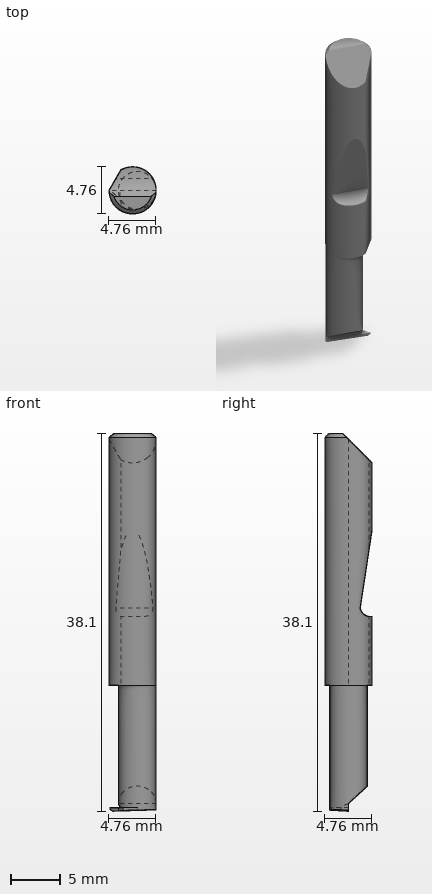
import cadquery as cq
import math


shank_diameter = 4.76
shank_radius = shank_diameter / 2
shank_length = 25.4
shank_chamfer = 0.4
flat_angle = 150.0
flat_half_width_angle = 30.0
flat_distance = shank_radius * math.cos(math.radians(flat_half_width_angle))
top_bevel_start = -0.6

notch_top = 15.7
notch_bottom = 6.95
notch_radius = 1.0
notch_taper = 9.0

neck_radius = 1.905
neck_center_x = shank_radius - neck_radius
neck_left_x = neck_center_x - neck_radius
neck_length = 12.69
tip_z = -neck_length
neck_bevel_start = -10.15
neck_bevel_end = -11.9

blade_thickness = 0.37
blade_top = tip_z + blade_thickness
blade_reach_x = -2.28
blade_corner_x = -2.0
flank_end = (-1.4, -0.75)
side_end = (-0.95, -1.7)
blade_nose_height = 0.2
bottom_relief = 1.8
undercut_height = 0.35
undercut_depth = 0.17

margin = 5.0


def prism_along_x(points):
    """Body with a (Y, Z) outline, passing through the whole part in X."""
    return cq.Workplane("YZ").polyline(points).close().extrude(margin, both=True)


def prism_along_y(points):
    """Body with an (X, Z) outline, passing through the whole part in Y."""
    return cq.Workplane("XZ").polyline(points).close().extrude(margin, both=True)


def side_flat():
    """Half space beyond the flat on the -X, +Y side of the shank."""
    block = cq.Workplane("XY").box(margin, 2 * margin, shank_length, centered=(False, True, False))
    return block.translate((flat_distance, 0, 0)).rotate((0, 0, 0), (0, 0, 1), flat_angle)


def top_bevel():
    """45 degree wedge removed from the back of the shank's top."""
    return prism_along_x([
        (top_bevel_start, shank_length),
        (top_bevel_start + margin, shank_length - margin),
        (top_bevel_start + margin, shank_length),
    ])


def clamping_notch():
    """Tapered notch whose long wall runs tangentially into a round floor."""
    taper = math.radians(notch_taper)
    center_z = notch_bottom + notch_radius
    wall_y = shank_radius - (notch_top - center_z) * math.tan(taper)
    center_y = wall_y + notch_radius / math.cos(taper)
    tangent = (center_y - notch_radius * math.cos(taper), center_z - notch_radius * math.sin(taper))
    middle_angle = math.radians(225.0)
    middle = (
        center_y + notch_radius * math.cos(middle_angle),
        center_z + notch_radius * math.sin(middle_angle),
    )
    outside_y = shank_radius + margin
    return (
        cq.Workplane("YZ")
        .moveTo(shank_radius, notch_top)
        .lineTo(*tangent)
        .threePointArc(middle, (center_y, notch_bottom))
        .lineTo(outside_y, notch_bottom)
        .lineTo(outside_y, notch_top)
        .close()
        .extrude(margin, both=True)
    )


def make_shank():
    shank = cq.Workplane("XY").circle(shank_radius).extrude(shank_length)
    shank = shank.faces(">Z").chamfer(shank_chamfer)
    return shank.cut(side_flat()).cut(top_bevel()).cut(clamping_notch())


def make_neck():
    """Round neck, cut to a half round at the bottom and undercut above the blade."""
    neck = cq.Workplane("XY").center(neck_center_x, 0).circle(neck_radius).extrude(tip_z)
    back_clearance = prism_along_x([
        (0, tip_z),
        (0, neck_bevel_end),
        (neck_radius, neck_bevel_start),
        (margin, neck_bevel_start),
        (margin, tip_z),
    ])
    undercut = prism_along_y([
        (neck_left_x, blade_top + undercut_height),
        (neck_left_x + undercut_depth, blade_top),
        (neck_left_x, blade_top),
    ])
    return neck.cut(back_clearance).cut(undercut)


def make_blade():
    """Flange on the front half of the neck that reaches out to the cutting nose at -X."""
    front = (neck_center_x, -neck_radius)
    toward_nose = cq.Vector(-1, 0, 0)
    front_arc = cq.Edge.makeTangentArc(cq.Vector(*front), toward_nose, cq.Vector(*side_end))
    middle = front_arc.positionAt(0.5)
    blade = (
        cq.Workplane("XY", origin=(0, 0, tip_z))
        .moveTo(neck_center_x, 0)
        .lineTo(*front)
        .threePointArc((middle.x, middle.y), side_end)
        .lineTo(*flank_end)
        .lineTo(blade_reach_x, 0)
        .close()
        .extrude(blade_thickness)
    )
    nose = prism_along_y([
        (blade_reach_x, tip_z),
        (blade_corner_x, tip_z),
        (blade_reach_x, tip_z + blade_nose_height),
    ])
    return blade.cut(nose)


def bottom_clearance():
    """Block below the relieved bottom face, which rises away from the cutting corner."""
    corner = (blade_corner_x, 0, tip_z)
    block = cq.Workplane("XY").box(4 * margin, 4 * margin, margin, centered=(True, True, False))
    block = block.translate((blade_corner_x, 0, tip_z - margin))
    along_x = (blade_corner_x + margin, 0, tip_z)
    along_y = (blade_corner_x, margin, tip_z)
    return block.rotate(corner, along_x, -bottom_relief).rotate(corner, along_y, -bottom_relief)


result = make_shank().union(make_neck()).union(make_blade()).cut(bottom_clearance())